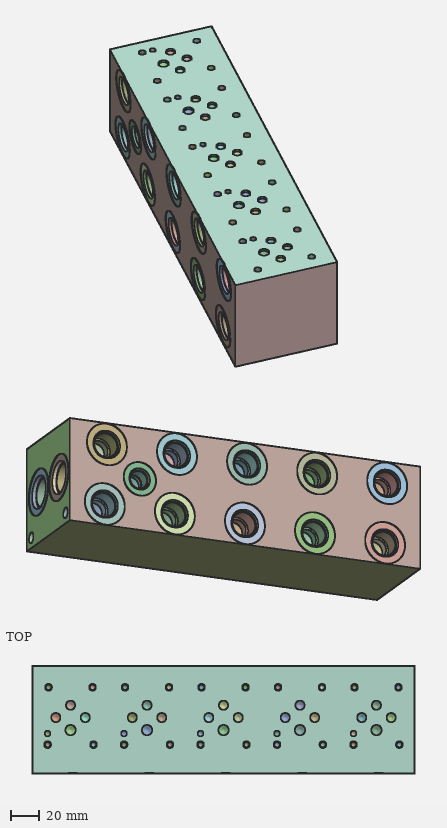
import cadquery as cq
import math

LENGTH = 270.0
WIDTH = 76.0
HEIGHT = 76.0

STATION_COUNT = 5
STATION_PITCH = 54.0
STATION_CENTRES = [
    (index - (STATION_COUNT - 1) / 2) * STATION_PITCH for index in range(STATION_COUNT)
]

DRILL_POINT_ANGLE = 118.0
SPOTFACE_DEPTH = 0.5

SERVICE_PORT = {
    "spotface": 30.8,
    "mouth": 20.5,
    "seat": 19.2,
    "seat_depth": 2.5,
    "thread": 17.5,
    "thread_depth": 14.8,
    "pilot": 14.3,
    "depth": 21.5,
}
UPPER_PORT_X = 1.5
SERVICE_ROW_SPACING = 44.5

GAUGE_PORT = {
    "spotface": 24.8,
    "mouth": 16.0,
    "seat": 14.3,
    "seat_depth": 2.5,
    "thread": 13.0,
    "thread_depth": 12.1,
    "pilot": 12.1,
    "depth": 16.2,
}
GAUGE_PORT_X = -81.0

END_PORT = {
    "spotface": 34.0,
    "mouth": 24.0,
    "seat": 22.7,
    "seat_depth": 3.2,
    "thread": 20.5,
    "thread_depth": 17.5,
    "pilot": 16.0,
    "depth": 25.6,
}
END_PORT_Y = 17.8
PRESSURE_GALLERY_DIAMETER = 8.5
PRESSURE_GALLERY_DEPTH = 41.8

MOUNT_THREAD = 7.8
MOUNT_THREAD_DEPTH = 14.8
MOUNT_DRILL = 6.5
MOUNT_DEPTH = 19.0
MOUNT_INSET = 7.8

VALVE_PORT_DEPTH = 2.0
WORK_PORT_DIAMETER = 6.5
WORK_PORT_SPACING = 20.8
WORK_PORT_Y = 1.57
TANK_PORT_DIAMETER = 6.5
TANK_PORT_Y = 10.3
PRESSURE_PORT_DIAMETER = 7.3
PRESSURE_PORT_Y = -7.3

BOLT_THREAD = 4.9
BOLT_THREAD_DEPTH = 10.8
BOLT_DRILL = 3.8
BOLT_DEPTH = 13.5
REAR_BOLT_SPACING = 31.0
REAR_BOLT_Y = 23.0
FRONT_BOLT_SPACING = 32.5
FRONT_BOLT_Y = -17.5

PIN_DIAMETER = 4.0
PIN_DEPTH = 4.0
PIN_Y = -9.7


def point_length(diameter):
    """Length of the conical drill point of a bore."""
    return diameter / 2 / math.tan(math.radians(DRILL_POINT_ANGLE / 2))


def bore_cutter(profile):
    """Revolved cutter about Z, entering at Z = 0 and pointing down.

    The profile lists (radius, depth) from the mouth to the deepest edge;
    a drill point closes the bottom.
    """
    last_radius, last_depth = profile[-1]
    tip_depth = last_depth + point_length(2 * last_radius)
    points = [(radius, -depth) for radius, depth in profile]
    outline = [(0, 0)] + points + [(0, -tip_depth)]
    return cq.Workplane("XZ").polyline(outline).close().revolve(360, (0, 0), (0, 1))


def drilled_hole(diameter, depth):
    return bore_cutter([(diameter / 2, 0), (diameter / 2, depth)])


def tapped_hole(thread, thread_depth, drill, depth):
    """Thread bore stepping down to a deeper tap drilling."""
    return bore_cutter(
        [
            (thread / 2, 0),
            (thread / 2, thread_depth),
            (drill / 2, thread_depth),
            (drill / 2, depth),
        ]
    )


def threaded_port(size):
    """Spotfaced port: tapered seal seat, thread bore and pilot drilling, all coaxial."""
    return bore_cutter(
        [
            (size["spotface"] / 2, 0),
            (size["spotface"] / 2, SPOTFACE_DEPTH),
            (size["mouth"] / 2, SPOTFACE_DEPTH),
            (size["seat"] / 2, size["seat_depth"]),
            (size["thread"] / 2, size["seat_depth"]),
            (size["thread"] / 2, size["thread_depth"]),
            (size["pilot"] / 2, size["thread_depth"]),
            (size["pilot"] / 2, size["depth"]),
        ]
    )


def on_top(cutter, x, y):
    return cutter.translate((x, y, HEIGHT / 2))


def on_front(cutter, x, z):
    turned = cutter.rotate((0, 0, 0), (1, 0, 0), 90)
    return turned.translate((x, -WIDTH / 2, z))


def on_end(cutter, y, z):
    turned = cutter.rotate((0, 0, 0), (0, 1, 0), -90)
    return turned.translate((-LENGTH / 2, y, z))


def valve_station_cutters(x):
    """Valve ports, bolt holes and locating pin hole of one station."""
    work_port = drilled_hole(WORK_PORT_DIAMETER, VALVE_PORT_DEPTH)
    tank_port = drilled_hole(TANK_PORT_DIAMETER, VALVE_PORT_DEPTH)
    pressure_port = drilled_hole(PRESSURE_PORT_DIAMETER, VALVE_PORT_DEPTH)
    bolt_hole = tapped_hole(BOLT_THREAD, BOLT_THREAD_DEPTH, BOLT_DRILL, BOLT_DEPTH)
    pin_hole = drilled_hole(PIN_DIAMETER, PIN_DEPTH)

    cutters = [
        on_top(tank_port, x, TANK_PORT_Y),
        on_top(pressure_port, x, PRESSURE_PORT_Y),
        on_top(pin_hole, x - FRONT_BOLT_SPACING / 2, PIN_Y),
    ]
    for side in (-1, 1):
        cutters.append(on_top(work_port, x + side * WORK_PORT_SPACING / 2, WORK_PORT_Y))
        cutters.append(on_top(bolt_hole, x + side * REAR_BOLT_SPACING / 2, REAR_BOLT_Y))
        cutters.append(on_top(bolt_hole, x + side * FRONT_BOLT_SPACING / 2, FRONT_BOLT_Y))
    return cutters


def front_cutters():
    """Gauge port and the two rows of service ports."""
    service_port = threaded_port(SERVICE_PORT)
    row_z = SERVICE_ROW_SPACING / 2
    cutters = [on_front(threaded_port(GAUGE_PORT), GAUGE_PORT_X, 0)]
    for station_x in STATION_CENTRES:
        cutters.append(on_front(service_port, station_x + UPPER_PORT_X, row_z))
        cutters.append(on_front(service_port, station_x, -row_z))
    return cutters


def end_cutters():
    """Tank port at +Y, pressure port with its short gallery at -Y, and mounting holes."""
    end_port = threaded_port(END_PORT)
    gallery = drilled_hole(PRESSURE_GALLERY_DIAMETER, PRESSURE_GALLERY_DEPTH)
    mount_hole = tapped_hole(MOUNT_THREAD, MOUNT_THREAD_DEPTH, MOUNT_DRILL, MOUNT_DEPTH)
    mount_y = WIDTH / 2 - MOUNT_INSET
    mount_z = MOUNT_INSET - HEIGHT / 2

    cutters = [on_end(gallery, -END_PORT_Y, 0)]
    for side in (-1, 1):
        cutters.append(on_end(end_port, side * END_PORT_Y, 0))
        cutters.append(on_end(mount_hole, side * mount_y, mount_z))
    return cutters


all_cutters = front_cutters() + end_cutters()
for station_x in STATION_CENTRES:
    all_cutters += valve_station_cutters(station_x)

result = cq.Workplane("XY").box(LENGTH, WIDTH, HEIGHT)
for hole_cutter in all_cutters:
    result = result.cut(hole_cutter)